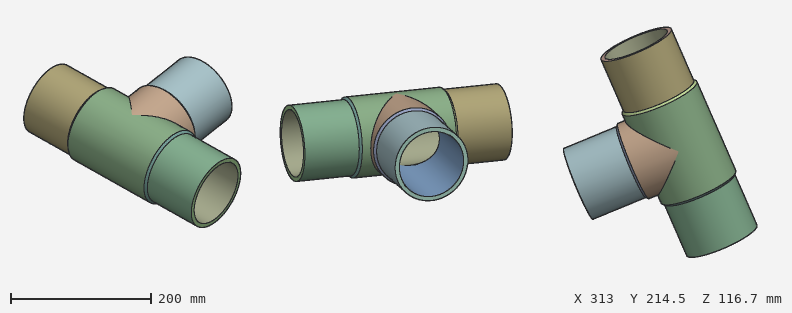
import cadquery as cq

run_length = 313.0
branch_reach = 156.2
body_diameter = 116.7
spigot_diameter = 110.0
bore_diameter = 97.0
spigot_length = 82.0

shoulder_chamfer = (body_diameter - spigot_diameter) / 2
body_length = run_length - 2 * spigot_length
branch_body_reach = branch_reach - spigot_length


def run_cylinder(diameter, length):
    """Cylinder along X, centred on the origin."""
    return cq.Workplane("YZ").circle(diameter / 2).extrude(length / 2, both=True)


def branch_cylinder(diameter, reach):
    """Cylinder from the run axis out along +Y."""
    return cq.Workplane("XZ").circle(diameter / 2).extrude(-reach)


run_body = run_cylinder(body_diameter, body_length).faces("<X or >X").chamfer(shoulder_chamfer)
branch_body = branch_cylinder(body_diameter, branch_body_reach).faces(">Y").chamfer(shoulder_chamfer)
body = run_body.union(branch_body)

run_spigots = run_cylinder(spigot_diameter, run_length)
branch_spigot = branch_cylinder(spigot_diameter, branch_reach)

run_bore = run_cylinder(bore_diameter, run_length)
branch_bore = branch_cylinder(bore_diameter, branch_reach)

result = body.union(run_spigots).union(branch_spigot).cut(run_bore).cut(branch_bore)